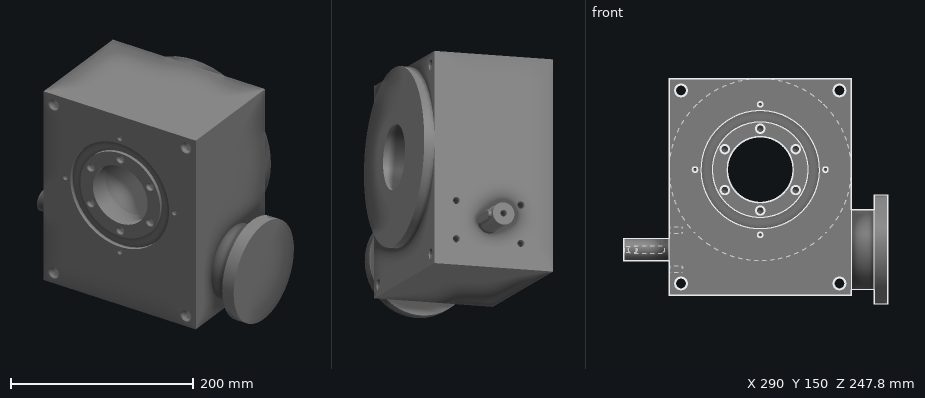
import cadquery as cq
import math

HOUSING_WIDTH = 200.0
HOUSING_DEPTH = 138.0
HOUSING_HEIGHT = 238.0

DISC_DIAMETER = HOUSING_WIDTH
DISC_THICKNESS = 12.0
HUB_DIAMETER = 105.0
HUB_RECESS = 1.0
BORE_LIP_DIAMETER = 72.0
BORE_LIP_LENGTH = 25.0
BORE_DIAMETER = 73.0
ROTOR_X = HOUSING_WIDTH / 2
ROTOR_Z = HOUSING_HEIGHT - DISC_DIAMETER / 2
HUB_LENGTH = HOUSING_DEPTH - HUB_RECESS
TOTAL_DEPTH = HOUSING_DEPTH + DISC_THICKNESS

GROOVE_DIAMETER = 130.0
GROOVE_DEPTH = 5.0

SHAFT_DIAMETER = 25.0
SHAFT_LENGTH = 50.0
SHAFT_Y = TOTAL_DEPTH / 2
SHAFT_Z = 50.2
KEY_WIDTH = 8.0
KEY_LENGTH = 40.0
KEY_END_GAP = 5.0
KEY_TOP = 15.7

NECK_DIAMETER = 88.0
NECK_LENGTH = 25.0
FLANGE_DIAMETER = 120.0
FLANGE_THICKNESS = 15.0

CORNER_HOLE_DIAMETER = 12.0
CORNER_HOLE_INSET = 13.0
CORNER_HOLE_CHAMFER = 1.02

DRILL_POINT_ANGLE = 118.0
DRILL_DEPTH_RATIO = 2.0
FACE_HOLE_DIAMETER = 5.0
FACE_HOLE_CHAMFER = 0.5
FACE_HOLE_CIRCLE_RADIUS = 71.5
FACE_HOLE_COUNT = 4
HUB_HOLE_DIAMETER = 8.5
HUB_HOLE_CHAMFER = 1.0
HUB_HOLE_CIRCLE_RADIUS = 45.0
HUB_HOLE_COUNT = 6
SIDE_HOLE_DIAMETER = 7.0
SIDE_HOLE_CHAMFER = 1.0
SIDE_HOLE_SPACING_Y = 75.0
SIDE_HOLE_SPACING_Z = 43.0
CENTER_HOLE_DIAMETER = 6.7
CENTER_HOLE_CHAMFER = 0.72

ALONG_X = cq.Vector(1, 0, 0)
ALONG_Y = cq.Vector(0, 1, 0)


def cylinder(diameter, length, start, direction):
    """Solid cylinder running from the start point along the direction."""
    return cq.Workplane(cq.Solid.makeCylinder(diameter / 2, length, start, direction))


def entry_chamfer(diameter, chamfer, start, direction):
    """Cone that breaks the mouth of a hole at 45 degrees."""
    radius = diameter / 2
    return cq.Workplane(cq.Solid.makeCone(radius + chamfer, radius, chamfer, start, direction))


def blind_hole(diameter, chamfer, start, direction):
    """Cutter for a drilled hole with a conical bottom and a chamfered mouth."""
    depth = DRILL_DEPTH_RATIO * diameter
    point_length = diameter / 2 / math.tan(math.radians(DRILL_POINT_ANGLE / 2))
    point = cq.Solid.makeCone(diameter / 2, 0, point_length, start + direction * depth, direction)
    return (
        cylinder(diameter, depth, start, direction)
        .union(cq.Workplane(point))
        .union(entry_chamfer(diameter, chamfer, start, direction))
    )


def circle_points(radius, count, y):
    """Points at depth y, evenly spaced round the rotor axis, the first one at the top."""
    angles = [2 * math.pi * index / count for index in range(count)]
    return [
        cq.Vector(ROTOR_X + radius * math.sin(angle), y, ROTOR_Z + radius * math.cos(angle))
        for angle in angles
    ]


def cut_corner_holes(body):
    for x in (CORNER_HOLE_INSET, HOUSING_WIDTH - CORNER_HOLE_INSET):
        for z in (CORNER_HOLE_INSET, HOUSING_HEIGHT - CORNER_HOLE_INSET):
            start = cq.Vector(x, 0, z)
            body = body.cut(cylinder(CORNER_HOLE_DIAMETER, HOUSING_DEPTH, start, ALONG_Y))
            body = body.cut(entry_chamfer(CORNER_HOLE_DIAMETER, CORNER_HOLE_CHAMFER, start, ALONG_Y))
    return body


def cut_face_holes(body):
    for start in circle_points(FACE_HOLE_CIRCLE_RADIUS, FACE_HOLE_COUNT, 0):
        body = body.cut(blind_hole(FACE_HOLE_DIAMETER, FACE_HOLE_CHAMFER, start, ALONG_Y))
    return body


def cut_side_holes(body):
    for side_y in (-1, 1):
        for side_z in (-1, 1):
            y = SHAFT_Y + side_y * SIDE_HOLE_SPACING_Y / 2
            z = SHAFT_Z + side_z * SIDE_HOLE_SPACING_Z / 2
            start = cq.Vector(0, y, z)
            body = body.cut(blind_hole(SIDE_HOLE_DIAMETER, SIDE_HOLE_CHAMFER, start, ALONG_X))
    return body


def make_housing():
    """Gearbox block with the rotor opening, the motor flange and all its mounting holes."""
    rotor_center = cq.Vector(ROTOR_X, 0, ROTOR_Z)
    neck_start = cq.Vector(HOUSING_WIDTH, SHAFT_Y, SHAFT_Z)
    body = cq.Workplane().box(HOUSING_WIDTH, HOUSING_DEPTH, HOUSING_HEIGHT, centered=False)
    body = body.union(cylinder(NECK_DIAMETER, NECK_LENGTH, neck_start, ALONG_X))
    flange_start = neck_start + ALONG_X * NECK_LENGTH
    body = body.union(cylinder(FLANGE_DIAMETER, FLANGE_THICKNESS, flange_start, ALONG_X))
    body = body.cut(cylinder(HUB_DIAMETER, HOUSING_DEPTH, rotor_center, ALONG_Y))
    body = body.cut(cylinder(GROOVE_DIAMETER, GROOVE_DEPTH, rotor_center, ALONG_Y))
    body = cut_corner_holes(body)
    body = cut_face_holes(body)
    return cut_side_holes(body)


def make_rotor():
    """Hollow hub filling the housing opening, with the output disc behind the housing."""
    front = cq.Vector(ROTOR_X, HUB_RECESS, ROTOR_Z)
    disc_start = front + ALONG_Y * HUB_LENGTH
    wide_bore_start = front + ALONG_Y * BORE_LIP_LENGTH
    body = cylinder(HUB_DIAMETER, HUB_LENGTH, front, ALONG_Y)
    body = body.union(cylinder(DISC_DIAMETER, DISC_THICKNESS, disc_start, ALONG_Y))
    body = body.cut(cylinder(BORE_LIP_DIAMETER, BORE_LIP_LENGTH, front, ALONG_Y))
    wide_bore_length = HUB_LENGTH + DISC_THICKNESS - BORE_LIP_LENGTH
    body = body.cut(cylinder(BORE_DIAMETER, wide_bore_length, wide_bore_start, ALONG_Y))
    for start in circle_points(HUB_HOLE_CIRCLE_RADIUS, HUB_HOLE_COUNT, HUB_RECESS):
        body = body.cut(blind_hole(HUB_HOLE_DIAMETER, HUB_HOLE_CHAMFER, start, ALONG_Y))
    return body


def make_shaft():
    """Input shaft ending at the housing side, with a round-ended key along its back."""
    end = cq.Vector(-SHAFT_LENGTH, SHAFT_Y, SHAFT_Z)
    key_center_x = -SHAFT_LENGTH + KEY_END_GAP + KEY_LENGTH / 2
    key = (
        cq.Workplane("XZ", origin=(key_center_x, SHAFT_Y, SHAFT_Z))
        .slot2D(KEY_LENGTH, KEY_WIDTH)
        .extrude(-KEY_TOP)
    )
    body = cylinder(SHAFT_DIAMETER, SHAFT_LENGTH, end, ALONG_X).union(key)
    return body.cut(blind_hole(CENTER_HOLE_DIAMETER, CENTER_HOLE_CHAMFER, end, ALONG_X))


housing = make_housing()
rotor = make_rotor()
shaft = make_shaft()

result = cq.Compound.makeCompound([housing.val(), rotor.val(), shaft.val()])